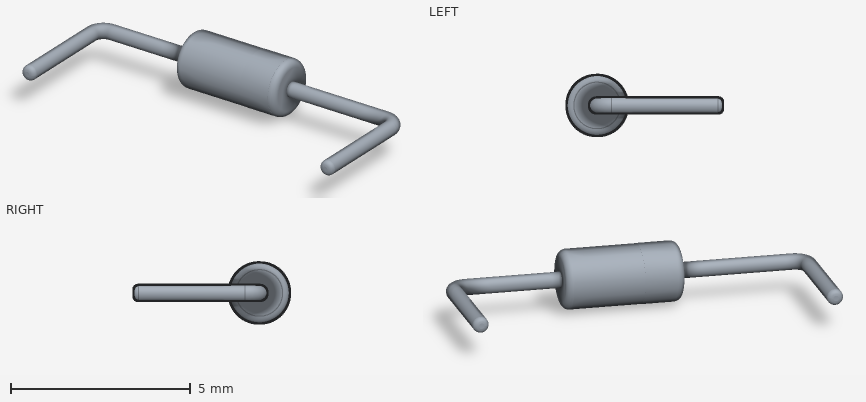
import cadquery as cq

overall_width = 10.62
wire_diameter = 0.46
wire_radius = wire_diameter / 2
leg_length = 3.5
bend_radius = 0.4
tip_fillet = 0.15
leg_x = overall_width / 2 - wire_radius

body_diameter = 1.7
body_length = 3.4
body_centre_x = -0.25
body_fillet = 0.2
body_start_x = body_centre_x - body_length / 2
body_end_x = body_start_x + body_length

band_diameter = 1.71
plain_length = 2.24
band_start_x = body_start_x + plain_length
band_end_x = body_end_x - body_fillet
band_length = band_end_x - band_start_x


def rod_along_x(start_x, length, diameter):
    """Solid cylinder on the body axis, starting at start_x."""
    return cq.Workplane("YZ", origin=(start_x, 0, 0)).circle(diameter / 2).extrude(length)


def make_wire():
    """One round wire bent to a U, with rounded leg tips."""
    shoulder_x = leg_x - bend_radius
    bend_offset = bend_radius * (1 - 0.5**0.5)
    path = (
        cq.Workplane("XY")
        .moveTo(-leg_x, -leg_length)
        .lineTo(-leg_x, -bend_radius)
        .threePointArc((-leg_x + bend_offset, -bend_offset), (-shoulder_x, 0))
        .lineTo(shoulder_x, 0)
        .threePointArc((leg_x - bend_offset, -bend_offset), (leg_x, -bend_radius))
        .lineTo(leg_x, -leg_length)
    )
    tip_plane = cq.Workplane("XZ", origin=(-leg_x, -leg_length, 0))
    wire = tip_plane.circle(wire_radius).sweep(path)
    return wire.faces("<Y").edges().fillet(tip_fillet)


def make_band():
    """Ring around the glass, ending where the body's end fillet begins."""
    outer = rod_along_x(band_start_x, band_length, band_diameter)
    return outer.cut(rod_along_x(band_start_x, band_length, body_diameter))


def make_body(wire):
    """Glass cylinder with rounded ends and a bore that fits the wire."""
    glass = rod_along_x(body_start_x, body_length, body_diameter)
    glass = glass.faces("<X or >X").edges().fillet(body_fillet)
    return glass.cut(wire)


lead_wire = make_wire()
cathode_band = make_band()
glass_body = make_body(lead_wire)

result = cq.Compound.makeCompound(
    [glass_body.solids().val(), cathode_band.solids().val(), lead_wire.solids().val()]
)